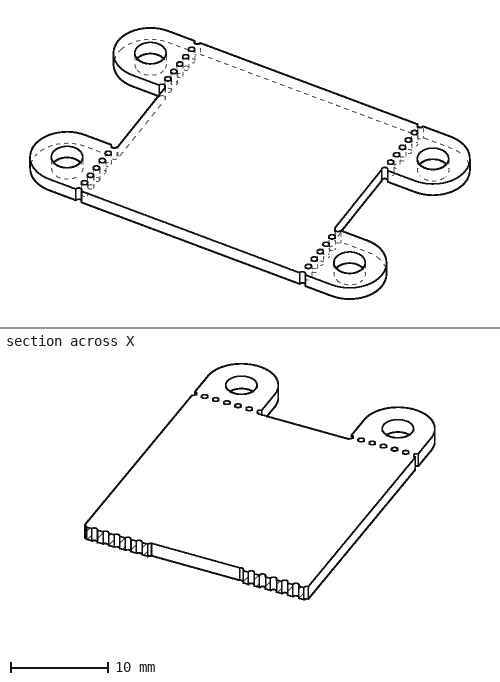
import cadquery as cq

length = 40.65
body_side = 25.4
thickness = 1.6

tab_width = 7.6
tab_radius = tab_width / 2
mount_diameter = 3.2
mount_x = length / 2 - tab_radius
mount_y = body_side / 2 - tab_radius

perforation_diameter = 0.65
perforations_per_row = 7
perforation_pitch = tab_width / (perforations_per_row - 1)
row_x = 13.1
upper_right_row_x = 12.95
row_centres = [
    (-row_x, mount_y),
    (-row_x, -mount_y),
    (upper_right_row_x, mount_y),
    (row_x, -mount_y),
]


def make_plate():
    """Square body crossed by two round-ended bars that form the tabs."""
    body = cq.Workplane("XY").rect(body_side, body_side).extrude(thickness)
    bars = (
        cq.Workplane("XY")
        .pushPoints([(0, -mount_y), (0, mount_y)])
        .slot2D(length, tab_width)
        .extrude(thickness)
    )
    return body.union(bars)


def make_mount_holes():
    """One through hole concentric with each rounded tab end."""
    return (
        cq.Workplane("XY")
        .rect(2 * mount_x, 2 * mount_y, forConstruction=True)
        .vertices()
        .circle(mount_diameter / 2)
        .extrude(thickness)
    )


def make_perforation_row(centre_x, centre_y):
    """Evenly spaced through holes along Y, centred on the given point."""
    return (
        cq.Workplane("XY")
        .center(centre_x, centre_y)
        .rarray(0.4, perforation_pitch, 1, perforations_per_row)
        .circle(perforation_diameter / 2)
        .extrude(thickness)
    )


result = make_plate().cut(make_mount_holes())
for centre_x, centre_y in row_centres:
    result = result.cut(make_perforation_row(centre_x, centre_y))